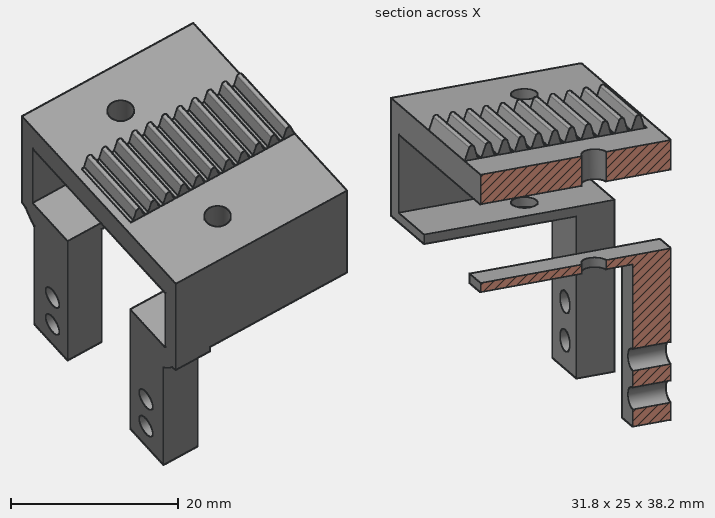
import cadquery as cq

width = 31.77
depth = 25.0
overall_height = 38.21

tooth_height = 1.85
tooth_count = 11
tooth_pitch = 2.1875
rack_width = 10.15
tip_back = 0.6
tip_middle = 0.92
tip_front = 1.25
toe_back = 1.7
toe_front = 2.03
tip_arc_height = 0.2
toe_height = 0.2

roof_thickness = 3.9
wall_thickness = 2.2
cavity_height = 10.15
flange_thickness = 1.25
opening_width = 12.9

leg_depth = 5.0
leg_outer_width = 26.7
shoulder_drop = 16.1
lip_width = 0.8
lip_drop = 0.25
flare_bottom_drop = 18.1
flare_bulge = 0.09

roof_hole_diameter = 3.2
roof_hole_spacing = 20.0
roof_hole_offset = 0.22
roof_hole_from_front = 10.1
leg_hole_diameter = 2.8
leg_hole_spacing = 19.3
leg_hole_offset = 0.08
leg_hole_heights = (3.7, 8.7)

roof_top = overall_height - tooth_height
cavity_top = roof_top - roof_thickness
cavity_bottom = cavity_top - cavity_height
channel_bottom = cavity_bottom - flange_thickness
half_width = width / 2
half_opening = opening_width / 2
half_leg_outer = leg_outer_width / 2
half_roof_spacing = roof_hole_spacing / 2
half_leg_spacing = leg_hole_spacing / 2


def extrude_back(sketch, length):
    """Extrude an XZ sketch from the front face toward +Y."""
    return sketch.extrude(-length)


def make_channel():
    """Rectangular channel along Y, open at both ends and slotted underneath."""
    height = roof_top - channel_bottom
    cavity_width = width - 2 * wall_thickness
    block = cq.Workplane("XY").box(width, depth, height, centered=(True, False, False))
    cavity = cq.Workplane("XY").box(cavity_width, depth, cavity_height, centered=(True, False, False))
    opening = cq.Workplane("XY").box(opening_width, depth, flange_thickness, centered=(True, False, False))
    block = block.translate((0, 0, channel_bottom))
    cavity = cavity.translate((0, 0, cavity_bottom))
    opening = opening.translate((0, 0, channel_bottom))
    return block.cut(cavity).cut(opening)


def make_leg():
    """Leg on the +X side, flared out at the top to meet the channel wall."""
    shoulder = roof_top - shoulder_drop
    outline = (
        cq.Workplane("XZ")
        .moveTo(half_opening, 0)
        .lineTo(half_leg_outer, 0)
        .lineTo(half_leg_outer, roof_top - flare_bottom_drop)
        .sagittaArc((half_width - lip_width, shoulder - lip_drop), -flare_bulge)
        .lineTo(half_width, shoulder)
        .lineTo(half_width, cavity_bottom)
        .lineTo(half_opening, cavity_bottom)
        .close()
    )
    return extrude_back(outline, leg_depth)


def make_tooth(back):
    """Rack tooth with a rounded tip and a sloped toe, starting at Y = back and running toward -Y."""
    tip_start = overall_height - tip_arc_height
    return (
        cq.Workplane("YZ")
        .moveTo(back, roof_top)
        .lineTo(back - tip_back, tip_start)
        .threePointArc((back - tip_middle, overall_height), (back - tip_front, tip_start))
        .lineTo(back - toe_back, roof_top + toe_height)
        .lineTo(back - toe_front, roof_top)
        .close()
        .extrude(rack_width / 2, both=True)
    )


def roof_holes():
    """Vertical holes through the roof and the flanges below it."""
    centres = [(roof_hole_offset + x, roof_hole_from_front) for x in (-half_roof_spacing, half_roof_spacing)]
    return cq.Workplane("XY").pushPoints(centres).circle(roof_hole_diameter / 2).extrude(overall_height)


def leg_holes():
    """Two cross holes through each leg."""
    columns = (leg_hole_offset - half_leg_spacing, leg_hole_offset + half_leg_spacing)
    centres = [(x, z) for x in columns for z in leg_hole_heights]
    return extrude_back(cq.Workplane("XZ").pushPoints(centres).circle(leg_hole_diameter / 2), leg_depth)


leg = make_leg()
result = make_channel().union(leg).union(leg.mirror("YZ"))
for index in range(tooth_count):
    result = result.union(make_tooth(depth - index * tooth_pitch))
result = result.cut(roof_holes()).cut(leg_holes())